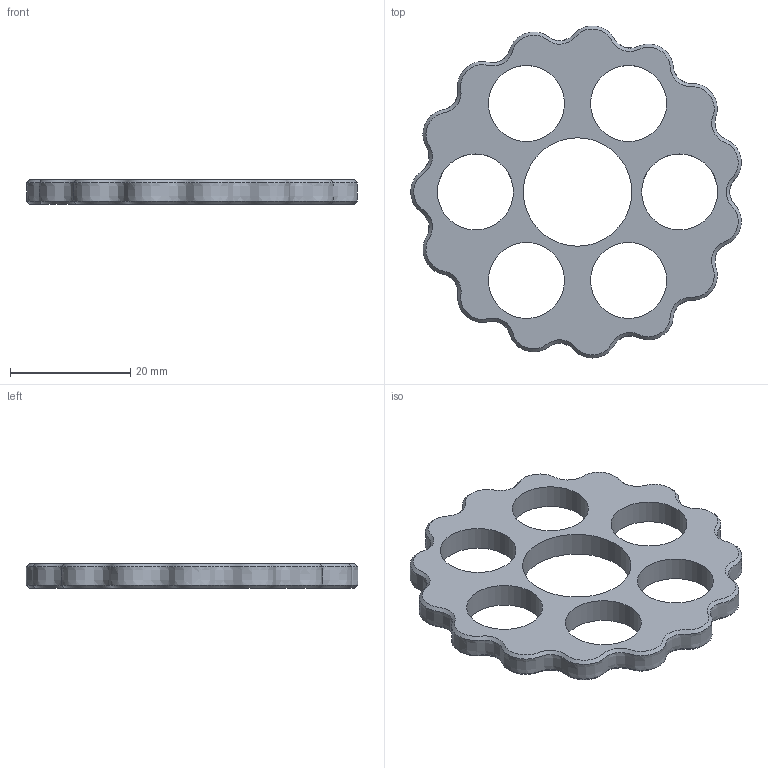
import cadquery as cq
import math

lobe_count = 15
ring_pin_count = lobe_count + 1
ring_pin_circle_radius = 29.0
ring_pin_radius = 2.5
eccentricity = 1.25

thickness = 4.0
rim_chamfer = 0.5

bearing_bore_diameter = 18.05

output_hole_count = 6
output_hole_diameter = 12.65
output_hole_circle_radius = 17.0

rim_points_per_lobe = 40


def rim_point(angle):
    """Point on the cycloidal rim for an input shaft angle in radians."""
    lobe_angle = lobe_count * angle
    rolling_ratio = ring_pin_circle_radius / (eccentricity * ring_pin_count)
    contact_angle = math.atan2(-math.sin(lobe_angle), rolling_ratio - math.cos(lobe_angle))
    x = (
        ring_pin_circle_radius * math.cos(angle)
        - ring_pin_radius * math.cos(angle + contact_angle)
        - eccentricity * math.cos(ring_pin_count * angle)
    )
    y = (
        ring_pin_circle_radius * math.sin(angle)
        - ring_pin_radius * math.sin(angle + contact_angle)
        - eccentricity * math.sin(ring_pin_count * angle)
    )
    return x, y


def lobed_blank():
    """Disc with one closed smooth rim, starting at the lobe tip on -X, chamfered on both faces."""
    point_count = lobe_count * rim_points_per_lobe
    step = 2 * math.pi / point_count
    points = [rim_point(math.pi + i * step) for i in range(point_count)]
    rim = cq.Workplane("XY").spline(points, periodic=True).close()
    return rim.extrude(thickness).faces("<Z or >Z").edges().chamfer(rim_chamfer)


def drill_bearing_bore(disc):
    """Central through bore for the eccentric bearing."""
    return disc.faces(">Z").workplane(origin=(0, 0, 0)).hole(bearing_bore_diameter)


def drill_output_holes(disc):
    """Ring of through holes for the output rollers, the first one on +X."""
    return (
        disc.faces(">Z")
        .workplane(origin=(0, 0, 0))
        .polarArray(output_hole_circle_radius, 0, 360, output_hole_count)
        .hole(output_hole_diameter)
    )


result = drill_output_holes(drill_bearing_bore(lobed_blank()))